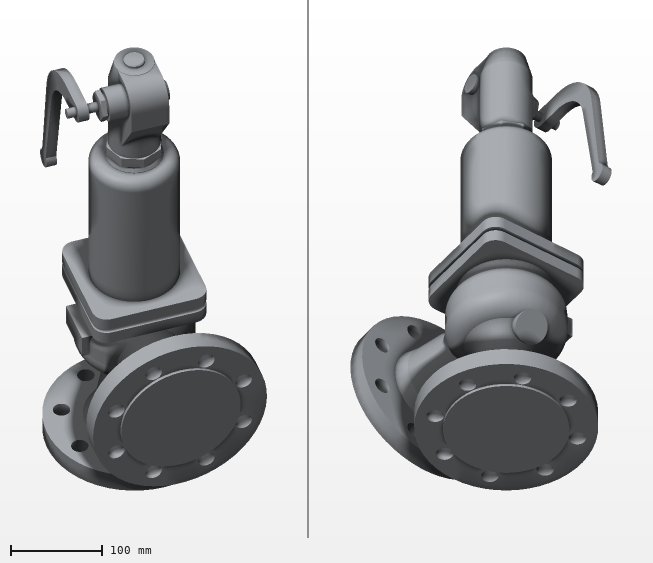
import cadquery as cq
import math

flange_radius = 200.0 / 2
flange_thickness = 22.0
raised_face_radius = 69.0
raised_face_height = 3.5
bolt_count = 8
bolt_circle_radius = 79.5
bolt_hole_radius = 9.5
flange_back = raised_face_height + flange_thickness
inlet_flare_length = 19.0
outlet_flare_length = 15.5
flare_radius = 56.0

inlet_flare_top_radius = 44.0
inlet_throat_radius = 34.5
inlet_throat_z = 93.5
bowl_bottom_z = 123.5
bowl_bottom_radius = 46.0
bowl_radius = 66.5
bowl_lower_z = 152.0
bowl_upper_z = 169.0
bowl_top_z = 188.5
bowl_top_radius = 55.0
neck_radius = 52.0
neck_bottom_z = 193.5
neck_top_z = 197.0
neck_flare_radius = 54.5

overall_length = 255.0
outlet_face_x = overall_length - flange_radius
outlet_axis_z = 155.0
outlet_flare_radius = 50.0
outlet_root_radius = 29.5

drain_boss_radius = 19.5
drain_boss_length = 39.0
drain_boss_tilt = 40.0
drain_face_x = -47.5
drain_face_z = 116.5

plate_width = 54.0
plate_bottom_z = 157.0
plate_height = 25.5
plate_front_y = -69.5

square_side = 130.5
square_corner_radius = 16.5
square_thickness = 15.0
body_square_z = 203.5
joint_gap = 5.0
gasket_radius = 54.5
joint_rim_radius = 59.0
joint_rim_height = 1.5
joint_z = body_square_z + square_thickness
bonnet_square_z = joint_z + joint_gap
bonnet_bottom_z = bonnet_square_z + square_thickness
bonnet_radius = 50.0
bonnet_top_z = 413.5
bonnet_round = 12.0

collar_radius = 27.0
seat_radius = 32.0
seat_height = 3.0
seat_chamfer = 2.0
nut_bottom_z = 420.5
nut_corner_radius = 32.0
nut_sides = 8
cap_bottom_z = 432.5
cap_radius = 29.0
cap_cone_z = 524.0
cap_top_z = 550.5
cap_top_radius = 22.0
button_radius = 11.5
button_chamfer = 1.0
overall_height = 554.5

shaft_x = 28.0
shaft_z = cap_cone_z
housing_half_width = 21.5
housing_outer_x = 54.0
housing_top_z = 550.0
housing_round = housing_top_z - shaft_z
housing_slope_top_z = 499.0
housing_slope_foot_x = 20.0
housing_slope_foot_z = 448.5
plug_radius = 11.0
plug_y = 28.0
bush_radius = 19.0
bush_y = -44.0
washer_radius = 14.0
gland_start_y = -46.0
gland_end_y = -52.0
gland_across_flats = 31.0
gland_chamfer_angle = 30.0
shaft_radius = 5.5
shaft_end_y = -87.5

lever_back_y = -65.5
lever_thickness = 12.0
lever_end_radius = 12.0
lever_bend_x = -3.5
outer_bend_radius = 65.0
outer_tilt = 7.4
inner_bend_radius = 49.0
inner_tilt = 10.2
knob_x = -78.0
knob_z = 360.5
knob_radius = 10.5
knob_neck_z = 375.5
knob_outer_turn = 30.0
knob_inner_turn = 50.0


def cylinder_z(radius, bottom, top):
    return cq.Workplane("XY").workplane(offset=bottom).circle(radius).extrude(top - bottom)


def cylinder_y(radius, start, end):
    """Cylinder on the lever shaft axis between two Y positions."""
    plane = cq.Workplane("XZ", origin=(shaft_x, start, shaft_z))
    return plane.circle(radius).extrude(start - end)


def pipe_flange():
    """Drilled flange with its raised face on z = 0 and its neck side up."""
    face = cylinder_z(raised_face_radius, 0, raised_face_height)
    disc = cylinder_z(flange_radius, raised_face_height, flange_back)
    half_pitch = 180 / bolt_count
    holes = (
        cq.Workplane("XY")
        .polarArray(bolt_circle_radius, half_pitch, 360, bolt_count)
        .circle(bolt_hole_radius)
        .extrude(flange_back)
    )
    return face.union(disc).cut(holes)


def body():
    """Turned inlet neck and bowl, closed by the square flange above."""
    flare_top_z = flange_back + inlet_flare_length
    bend = math.sqrt(0.5)
    lower_mid = (
        bowl_bottom_radius + (bowl_radius - bowl_bottom_radius) * bend,
        bowl_lower_z - (bowl_lower_z - bowl_bottom_z) * bend,
    )
    profile = (
        cq.Workplane("XZ")
        .moveTo(0, raised_face_height)
        .lineTo(flare_radius, raised_face_height)
        .lineTo(flare_radius, flange_back)
        .lineTo(inlet_flare_top_radius, flare_top_z)
        .lineTo(inlet_throat_radius, inlet_throat_z)
        .tangentArcPoint((bowl_bottom_radius, bowl_bottom_z), relative=False)
        .threePointArc(lower_mid, (bowl_radius, bowl_lower_z))
        .lineTo(bowl_radius, bowl_upper_z)
        .tangentArcPoint((bowl_top_radius, bowl_top_z), relative=False)
        .tangentArcPoint((neck_radius, neck_bottom_z), relative=False)
        .lineTo(neck_radius, neck_top_z)
        .tangentArcPoint((neck_flare_radius, body_square_z), relative=False)
        .lineTo(0, body_square_z)
        .close()
    )
    return profile.revolve(360, (0, 0, 0), (0, 1, 0))


def outlet():
    """Conical branch along +X ending in the outlet flange."""
    flange_back_x = outlet_face_x - flange_back
    flare_x = flange_back_x - outlet_flare_length
    branch = (
        cq.Workplane("XZ", origin=(0, 0, outlet_axis_z))
        .polyline([
            (0, 0),
            (0, outlet_root_radius),
            (flare_x, outlet_flare_radius),
            (flange_back_x, flare_radius),
            (flange_back_x, 0),
        ])
        .close()
        .revolve(360, (0, 0, 0), (1, 0, 0))
    )
    flange = pipe_flange().rotate((0, 0, 0), (0, 1, 0), -90)
    return branch.union(flange.translate((outlet_face_x, 0, outlet_axis_z)))


def drain_boss():
    """Tilted round boss under the bowl on the -X side."""
    tilt = math.radians(drain_boss_tilt)
    inward = cq.Vector(math.cos(tilt), 0, math.sin(tilt))
    face = cq.Vector(drain_face_x, 0, drain_face_z)
    return cq.Workplane(cq.Solid.makeCylinder(drain_boss_radius, drain_boss_length, face, inward))


def name_plate():
    return cq.Workplane("XY").box(
        plate_width, -plate_front_y, plate_height, centered=(True, False, False)
    ).translate((0, plate_front_y, plate_bottom_z))


def square_flange(bottom):
    return (
        cq.Workplane("XY")
        .workplane(offset=bottom)
        .rect(square_side, square_side)
        .extrude(square_thickness)
        .edges("|Z")
        .fillet(square_corner_radius)
    )


def bonnet():
    lower = square_flange(body_square_z)
    upper = square_flange(bonnet_square_z)
    rim = cylinder_z(joint_rim_radius, body_square_z, joint_z + joint_rim_height)
    gasket = cylinder_z(gasket_radius, body_square_z, bonnet_bottom_z)
    tube = cylinder_z(bonnet_radius, bonnet_square_z, bonnet_top_z)
    tube = tube.faces(">Z").edges().fillet(bonnet_round)
    return lower.union(upper).union(rim).union(gasket).union(tube)


def cap():
    collar = cylinder_z(collar_radius, bonnet_top_z - bonnet_round, cap_bottom_z)
    seat = cylinder_z(seat_radius, bonnet_top_z - bonnet_round, bonnet_top_z + seat_height)
    seat = seat.faces(">Z").chamfer(seat_chamfer)
    nut = (
        cq.Workplane("XY")
        .workplane(offset=nut_bottom_z)
        .polygon(nut_sides, 2 * nut_corner_radius)
        .extrude(cap_bottom_z - nut_bottom_z)
    )
    shell = (
        cq.Workplane("XZ")
        .polyline([
            (0, nut_bottom_z),
            (cap_radius, nut_bottom_z),
            (cap_radius, cap_cone_z),
            (cap_top_radius, cap_top_z),
            (0, cap_top_z),
        ])
        .close()
        .revolve(360, (0, 0, 0), (0, 1, 0))
    )
    button = cylinder_z(button_radius, cap_cone_z, overall_height)
    button = button.faces(">Z").chamfer(button_chamfer)
    return collar.union(seat).union(nut).union(shell).union(button)


def gland_nut():
    """Hexagon with two corners level with the shaft, its front corners chamfered."""
    thickness = gland_start_y - gland_end_y
    inscribed_radius = gland_across_flats / 2
    chamfer_spread = thickness / math.tan(math.radians(gland_chamfer_angle))
    hexagon = (
        cq.Workplane("XZ", origin=(shaft_x, gland_start_y, shaft_z))
        .polygon(6, gland_across_flats / math.cos(math.pi / 6))
        .extrude(thickness)
    )
    cone = cq.Solid.makeCone(
        inscribed_radius + chamfer_spread,
        inscribed_radius,
        thickness,
        cq.Vector(shaft_x, gland_start_y, shaft_z),
        cq.Vector(0, -1, 0),
    )
    return hexagon.intersect(cq.Workplane(cone))


def shaft_housing():
    """Block beside the cap with the plug, bush, gland nut and lever shaft."""
    round_start_x = housing_outer_x - housing_round
    block = (
        cq.Workplane("XZ", origin=(0, housing_half_width, 0))
        .moveTo(0, housing_top_z)
        .lineTo(round_start_x, housing_top_z)
        .tangentArcPoint((housing_outer_x, shaft_z), relative=False)
        .lineTo(housing_outer_x, housing_slope_top_z)
        .lineTo(housing_slope_foot_x, housing_slope_foot_z)
        .lineTo(0, housing_slope_foot_z)
        .close()
        .extrude(2 * housing_half_width)
    )
    parts = block.union(gland_nut())
    parts = parts.union(cylinder_y(plug_radius, plug_y, 0))
    parts = parts.union(cylinder_y(bush_radius, 0, bush_y))
    parts = parts.union(cylinder_y(washer_radius, 0, gland_start_y))
    return parts.union(cylinder_y(shaft_radius, 0, shaft_end_y))


def bend_point(top_z, radius, turn):
    """Point on a bend that leaves the lever's level end and turns down by an angle in degrees."""
    angle = math.radians(turn)
    x = lever_bend_x - radius * math.sin(angle)
    z = top_z - radius * (1 - math.cos(angle))
    return x, z


def drop_to(point, tilt, z):
    """Follow a lever edge, tilted from vertical, down to a height."""
    return point[0] - (point[1] - z) * math.tan(math.radians(tilt)), z


def knob_point(turn):
    """Point on the knob's rim, turned in degrees from straight up toward +X."""
    angle = math.radians(turn)
    return knob_x + knob_radius * math.sin(angle), knob_z + knob_radius * math.cos(angle)


def lever():
    top_z = shaft_z + lever_end_radius
    under_z = shaft_z - lever_end_radius
    outer_turn = 90 - outer_tilt
    inner_turn = 90 - inner_tilt
    outer_end = bend_point(top_z, outer_bend_radius, outer_turn)
    inner_end = bend_point(under_z, inner_bend_radius, inner_turn)
    arm = (
        cq.Workplane("XZ", origin=(0, lever_back_y, 0))
        .moveTo(lever_bend_x, under_z)
        .lineTo(shaft_x, under_z)
        .threePointArc((shaft_x + lever_end_radius, shaft_z), (shaft_x, top_z))
        .lineTo(lever_bend_x, top_z)
        .threePointArc(bend_point(top_z, outer_bend_radius, outer_turn / 2), outer_end)
        .lineTo(*drop_to(outer_end, outer_tilt, knob_neck_z))
        .lineTo(*knob_point(-knob_outer_turn))
        .lineTo(knob_x, knob_z)
        .lineTo(*knob_point(knob_inner_turn))
        .lineTo(*drop_to(inner_end, inner_tilt, knob_neck_z))
        .lineTo(*inner_end)
        .threePointArc(bend_point(under_z, inner_bend_radius, inner_turn / 2), (lever_bend_x, under_z))
        .close()
        .extrude(lever_thickness)
    )
    knob = (
        cq.Workplane("XZ", origin=(knob_x, lever_back_y, knob_z))
        .circle(knob_radius)
        .extrude(lever_thickness)
    )
    return arm.union(knob)


result = pipe_flange()
for component in (body, outlet, drain_boss, name_plate, bonnet, cap, shaft_housing, lever):
    result = result.union(component())